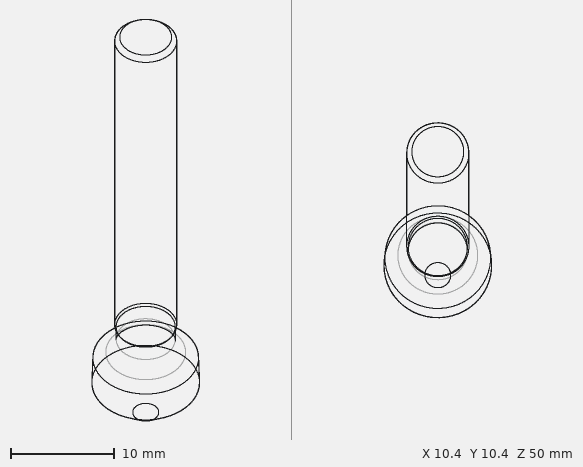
import cadquery as cq
import math

total_length = 50.0
shank_radius = 3.0
shank_chamfer = 0.5

head_radius = 5.2
head_rear_radius = 5.1
tip_radius = 1.25
point_half_angle = 45.0
head_rear_height = 7.3

neck_radius = 2.85
neck_fillet_radius = 2.0
shoulder_slope = 30.0
shank_start_height = 11.65
shank_step_half_angle = 30.0

point_height = (head_radius - tip_radius) / math.tan(math.radians(point_half_angle))
shank_step_height = (shank_radius - neck_radius) / math.tan(math.radians(shank_step_half_angle))
neck_top_height = shank_start_height - shank_step_height


def fillet_point(turn_degrees):
    """Radius, and drop below the fillet top, where the fillet has turned this far from vertical."""
    turn = math.radians(turn_degrees)
    radius = neck_radius + neck_fillet_radius * (1 - math.cos(turn))
    drop = neck_fillet_radius * math.sin(turn)
    return radius, drop


fillet_turn = 90.0 - shoulder_slope
shoulder_radius, fillet_drop = fillet_point(fillet_turn)
middle_radius, middle_drop = fillet_point(fillet_turn / 2)
shoulder_rise = (head_rear_radius - shoulder_radius) * math.tan(math.radians(shoulder_slope))
shoulder_height = head_rear_height + shoulder_rise
fillet_top_height = shoulder_height + fillet_drop


def half_profile():
    """Closed radius-height outline, drawn in the YZ plane from the tip upwards."""
    return (
        cq.Workplane("YZ")
        .moveTo(0, 0)
        .lineTo(tip_radius, 0)
        .lineTo(head_radius, point_height)
        .lineTo(head_rear_radius, head_rear_height)
        .lineTo(shoulder_radius, shoulder_height)
        .threePointArc(
            (middle_radius, fillet_top_height - middle_drop),
            (neck_radius, fillet_top_height),
        )
        .lineTo(neck_radius, neck_top_height)
        .lineTo(shank_radius, shank_start_height)
        .lineTo(shank_radius, total_length - shank_chamfer)
        .lineTo(shank_radius - shank_chamfer, total_length)
        .lineTo(0, total_length)
        .close()
    )


result = half_profile().revolve(360, (0, 0, 0), (0, 1, 0))